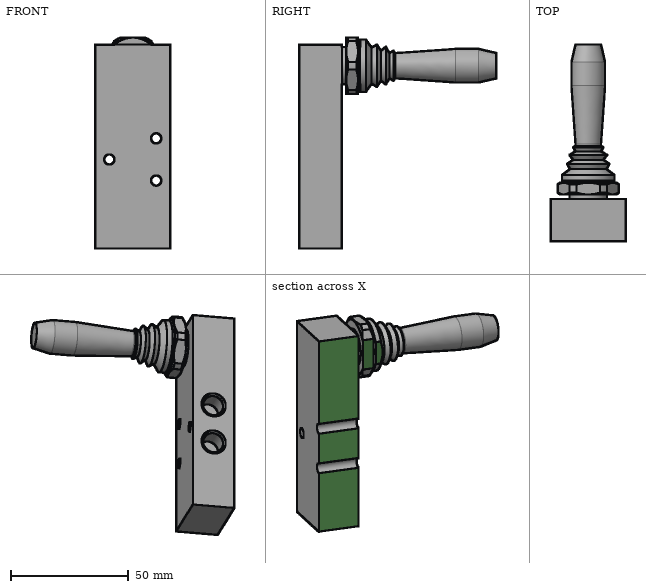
import cadquery as cq

housing_width = 32.0
housing_depth = 18.2
housing_height = 86.9
overall_height = 90.0

hole_diameter = 4.2
hole_offset_x = 10.0
hole_spacing_z = 18.0
hole_group_z = 38.0

port_diameter = 8.7
port_mouth_diameter = 10.5
port_chamfer = (port_mouth_diameter - port_diameter) / 2
port_depth = 10.8
port_spacing_z = 17.0

axis_drop = 9.0
axis_z = housing_height - axis_drop
nut_across_flats = 2 * (overall_height - axis_z)

nut_corner_diameter = 26.2
nut_face_diameter = 23.9
nut_chamfer_length = 0.8
nut_turn = 30.0
nut_start_y = 1.8
nut_thickness = 5.1
nut_end_y = nut_start_y + nut_thickness

neck_radius = 16.0 / 2
flange_radius = 22.5 / 2
flange_start_y = 7.7
flange_end_y = 10.2

bellows_folds = [
    (7.8, 12.7),
    (9.1, 14.9),
    (6.5, 16.65),
    (8.1, 18.7),
    (5.5, 20.25),
    (6.5, 22.0),
]

tip_radius = 11.0 / 2
grip_radius = 14.5 / 2
collar_start_y = 22.6
shaft_start_y = 23.3
grip_start_y = 48.3
grip_end_y = 58.2
lever_length = 65.8


def revolve_about_lever_axis(profile):
    """Turn a closed (radius, Y) outline around the lever axis."""
    turned = cq.Workplane("XY").polyline(profile).close().revolve(360, (0, 0), (0, 1))
    return turned.translate((0, 0, axis_z))


def make_mounting_holes():
    places = [
        (hole_offset_x, hole_group_z + hole_spacing_z / 2),
        (hole_offset_x, hole_group_z - hole_spacing_z / 2),
        (-hole_offset_x, hole_group_z),
    ]
    return cq.Workplane("XZ").pushPoints(places).circle(hole_diameter / 2).extrude(housing_depth)


def make_port(z):
    """Blind bore with a conical mouth, pointing inward from the -X side."""
    bore_radius = port_diameter / 2
    profile = [
        (0, 0),
        (0, port_mouth_diameter / 2),
        (port_chamfer, bore_radius),
        (port_depth, bore_radius),
        (port_depth, 0),
    ]
    port = cq.Workplane("XY").polyline(profile).close().revolve(360, (0, 0), (1, 0))
    return port.translate((-housing_width / 2, -housing_depth / 2, z))


def make_housing():
    block = cq.Workplane("XY").box(
        housing_width, housing_depth, housing_height, centered=(True, True, False)
    )
    block = block.translate((0, -housing_depth / 2, 0))
    block = block.cut(make_mounting_holes())
    for side in (-1, 1):
        block = block.cut(make_port(hole_group_z + side * port_spacing_z / 2))
    return block


def make_nut():
    """Hexagon with flats facing up and down, trimmed by a cylinder with conical ends."""
    hexagon = (
        cq.Workplane("XZ", origin=(0, nut_start_y, axis_z))
        .polygon(6, nut_across_flats, circumscribed=True)
        .extrude(-nut_thickness)
        .rotate((0, 0, axis_z), (0, 1, axis_z), nut_turn)
    )
    face_radius = nut_face_diameter / 2
    corner_radius = nut_corner_diameter / 2
    envelope = revolve_about_lever_axis([
        (0, nut_start_y),
        (face_radius, nut_start_y),
        (corner_radius, nut_start_y + nut_chamfer_length),
        (corner_radius, nut_end_y - nut_chamfer_length),
        (face_radius, nut_end_y),
        (0, nut_end_y),
    ])
    return hexagon.intersect(envelope)


def make_lever():
    stem = revolve_about_lever_axis([
        (0, 0),
        (neck_radius, 0),
        (neck_radius, flange_start_y),
        (flange_radius, flange_start_y),
        (flange_radius, flange_end_y),
        *bellows_folds,
        (tip_radius, collar_start_y),
        (tip_radius, shaft_start_y),
        (grip_radius, grip_start_y),
        (grip_radius, grip_end_y),
        (tip_radius, lever_length),
        (0, lever_length),
    ])
    return stem.union(make_nut())


housing = make_housing()
lever = make_lever()
result = cq.Compound.makeCompound([housing.solids().val(), lever.solids().val()])